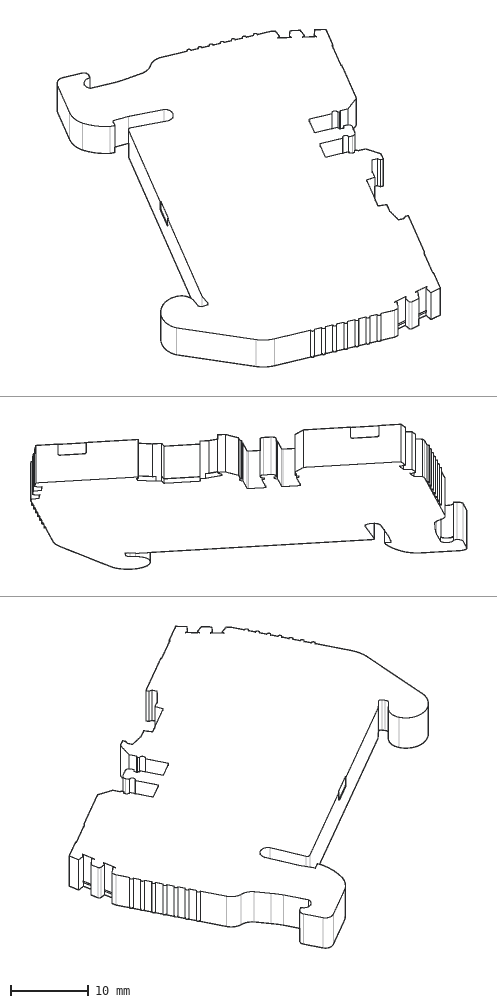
import cadquery as cq

thickness = 5.15
height = 36.05
wall_left = 0.5
wall_right = 52.2
mid_x = (wall_left + wall_right) / 2
base_y = 6.3
base_plate = 0.15
ledge_z = 0.65

slant_top_x = 2.4
slant_end_y = 29.2

rib_radius = 0.25
rib_count = 7
rib_top_y = 27.1
rib_span = 9.05
rib_pitch = rib_span / (rib_count - 1)

upper_notch_y = 34.65
lower_notch_y = 31.55
notch_height = 1.8
notch_depth = 0.9
notch_top_fall = 0.35
notch_bottom_rise = 0.2
notch_floor_lean = 0.3
notch_reach = 2.1
pocket_top_depth = 0.3
pocket_top_rise = 0.2
pocket_bottom_depth = 0.15
pocket_bottom_fall = 0.3
tooth_round = 0.3

foot_corner_y = 11.65
foot_corner_radius = 4.7
foot_side_x = 2.9
catch_top_y = 4.4
catch_start = (1.15, catch_top_y)
catch_x = 2.05
catch_floor_y = 3.35
catch_end_y = 3.9
catch_ledge = 0.15

fork_x = 20.3
fork_half_width = 3.5
fork_bottom_y = 29.0
fork_mouth_y = 34.45
fork_mouth_half_width = 5.15
fork_lip_y = 33.45
fork_lip_step = 0.185
post_half_width = 2.05 / 2
post_top_y = 34.0
post_round = 0.5
groove_y = 32.6
groove_radius = 0.395
slot_corner = 0.15

seat_mouth_left = 26.45
seat_mouth_right = 36.9
seat_x = (seat_mouth_left + seat_mouth_right) / 2
seat_mouth_half_width = (seat_mouth_right - seat_mouth_left) / 2
seat_floor_half_width = 4.8 / 2
seat_floor_y = 32.85
seat_shelf_y = 34.0
seat_shelf_half_width = 2.5
seat_ramp_start = 3.7
seat_ramp_slope = 1 / 3
seat_lip_overhang = 0.3
seat_half_width = seat_mouth_half_width + seat_lip_overhang
seat_lip_y = 35.65
seat_ledge = 0.15

pocket_depth = 0.1
pocket_drop = 1.5
pocket_corner = 0.25
top_pocket_width = 3.7
top_pocket_x = 5.3 + top_pocket_width / 2
base_pocket_width = 3.15
base_pocket_x = 26.25


def prism(sketch, bottom=0.0):
    return sketch.extrude(thickness - bottom)


def plane_at(z):
    return cq.Workplane("XY", origin=(0, 0, z))


def both_sides(solid):
    mirrored = solid.mirror("YZ", (mid_x, 0, 0))
    return solid.union(mirrored)


def body():
    outline = (
        plane_at(0)
        .moveTo(slant_top_x, height)
        .lineTo(2 * mid_x - slant_top_x, height)
        .lineTo(wall_right, slant_end_y)
        .lineTo(wall_right, foot_corner_y)
        .lineTo(46.5, 1.45)
        .threePointArc((44.15, 0.2), (41.2, 3.2))
        .threePointArc((41.6, 4.4), (42.7, 5.1))
        .lineTo(43.45, 5.25)
        .threePointArc((43.8, 5.45), (43.9, 5.9))
        .lineTo(43.85, 6.3)
        .threePointArc((43.75, 6.55), (43.45, 6.6))
        .lineTo(42.2, base_y)
        .lineTo(11.5, base_y)
        .threePointArc((11.25, 6.4), (11.1, 6.7))
        .lineTo(11.45, 11.65)
        .threePointArc((10.45, 12.65), (9.4, 11.75))
        .lineTo(9.15, 7.05)
        .lineTo(9.25, 4.9)
        .lineTo(10.15, 4.9)
        .lineTo(10.1, 4.2)
        .threePointArc((9.45, 2.5), (8.4, 1.0))
        .threePointArc((7.35, 0.25), (6.05, 0))
        .lineTo(1.05, 0)
        .threePointArc((0.3, 0.3), (0, 1.05))
        .lineTo(0, 3.7)
        .threePointArc((0.2, 4.2), (0.7, catch_top_y))
        .lineTo(*catch_start)
        .threePointArc((catch_x, catch_floor_y + catch_ledge), (foot_side_x, catch_end_y + catch_ledge))
        .lineTo(foot_side_x, 7.25)
        .threePointArc((2.85, 8.1), (2.75, 8.9))
        .lineTo(2.4, 11.1)
        .threePointArc((2.05, 11.95), (1.4, 12.55))
        .threePointArc((0.75, 13.35), (wall_left, 14.3))
        .lineTo(wall_left, slant_end_y)
        .close()
    )
    foot_corner = cq.selectors.NearestToPointSelector((wall_right, foot_corner_y, thickness / 2))
    return prism(outline).edges(foot_corner).fillet(foot_corner_radius)


def catch_deepening():
    """Part of the catch groove above its ledge."""
    groove = (
        plane_at(ledge_z)
        .moveTo(*catch_start)
        .threePointArc((catch_x, catch_floor_y), (foot_side_x, catch_end_y))
        .lineTo(foot_side_x, catch_top_y)
        .close()
    )
    return prism(groove, ledge_z)


def grip_ribs():
    centers = [(wall_left, rib_top_y - i * rib_pitch) for i in range(rib_count)]
    ribs = plane_at(base_plate).pushPoints(centers).circle(rib_radius)
    return both_sides(prism(ribs, base_plate))


def slant_x(y):
    """X of the left slanted edge at height y."""
    return slant_top_x - (height - y) * (slant_top_x - wall_left) / (height - slant_end_y)


def latch_notch(top_y):
    """Tapered notch through the slanted edge, with a deeper pocket above its ledge."""
    top_x = slant_x(top_y)
    bottom_y = top_y - notch_height
    floor_top = (top_x + notch_depth, top_y - notch_top_fall)
    floor_bottom = (floor_top[0] - notch_floor_lean, bottom_y + notch_bottom_rise)
    opening = (
        plane_at(0)
        .polyline([
            (top_x - notch_reach, top_y),
            (top_x, top_y),
            floor_top,
            floor_bottom,
            (slant_x(bottom_y), bottom_y),
            (top_x - notch_reach, bottom_y),
        ])
        .close()
    )
    pocket = (
        plane_at(ledge_z)
        .polyline([
            floor_top,
            (floor_top[0] + pocket_top_depth, floor_top[1] + pocket_top_rise),
            (floor_bottom[0] + pocket_bottom_depth, floor_bottom[1] - pocket_bottom_fall),
            floor_bottom,
        ])
        .close()
    )
    return prism(opening).union(prism(pocket, ledge_z))


def latch_notches():
    upper = latch_notch(upper_notch_y)
    lower = latch_notch(lower_notch_y)
    return both_sides(upper.union(lower))


def round_lower_teeth(solid):
    """Round the corners where the slanted edges meet the tops of the lower notches."""
    tooth_x = slant_x(lower_notch_y)
    for x in (tooth_x, 2 * mid_x - tooth_x):
        corner = cq.selectors.NearestToPointSelector((x, lower_notch_y, thickness / 2))
        solid = solid.edges(corner).fillet(tooth_round)
    return solid


def fork():
    """Mouth and slots of the fork, leaving the post standing."""
    lip = fork_half_width + fork_lip_step
    half = [
        (fork_half_width, fork_bottom_y),
        (fork_half_width, fork_lip_y - fork_lip_step),
        (lip, fork_lip_y),
        (lip, fork_mouth_y),
        (fork_mouth_half_width, height),
    ]
    right = [(fork_x + dx, y) for dx, y in half]
    left = [(fork_x - dx, y) for dx, y in reversed(half)]
    opening = prism(plane_at(0).polyline(right + left).close())

    post_height = post_top_y - fork_bottom_y
    post_outline = plane_at(0).center(fork_x, fork_bottom_y + post_height / 2)
    post = prism(post_outline.rect(2 * post_half_width, post_height))
    post = post.edges("|Z and >Y").fillet(post_round)

    slots = opening.cut(post).edges("|Z and <Y").fillet(slot_corner)
    offsets = (-fork_half_width, -post_half_width, post_half_width, fork_half_width)
    grooves = plane_at(0).pushPoints([(fork_x + dx, groove_y) for dx in offsets]).circle(groove_radius)
    return slots.union(prism(grooves))


def seat_outline(z, rise):
    """Marker seat section, with its floor and ramps raised by rise."""
    half = [
        (seat_floor_half_width, seat_floor_y + rise),
        (seat_shelf_half_width, seat_shelf_y),
        (seat_ramp_start - rise / seat_ramp_slope, seat_shelf_y),
        (seat_half_width, seat_shelf_y + seat_ramp_slope * (seat_half_width - seat_ramp_start) + rise),
        (seat_half_width, seat_lip_y - seat_lip_overhang),
        (seat_mouth_half_width, seat_lip_y),
        (seat_mouth_half_width, height),
    ]
    right = [(seat_x + dx, y) for dx, y in half]
    left = [(seat_x - dx, y) for dx, y in reversed(half)]
    return plane_at(z).polyline(right + left).close()


def marker_seat():
    lower = prism(seat_outline(0, seat_ledge))
    return lower.union(prism(seat_outline(ledge_z, 0), ledge_z))


def edge_pocket(x, y, width):
    """Shallow pocket let into an edge at y, open at the top face."""
    pocket = cq.Workplane("XY").box(width, 2 * pocket_depth, 2 * pocket_drop)
    return pocket.edges("|Y").fillet(pocket_corner).translate((x, y, thickness))


result = body().cut(catch_deepening()).cut(latch_notches())
result = round_lower_teeth(result).union(grip_ribs())
result = result.cut(fork()).cut(marker_seat())
result = result.cut(both_sides(edge_pocket(top_pocket_x, height, top_pocket_width)))
result = result.cut(edge_pocket(base_pocket_x, base_y, base_pocket_width))